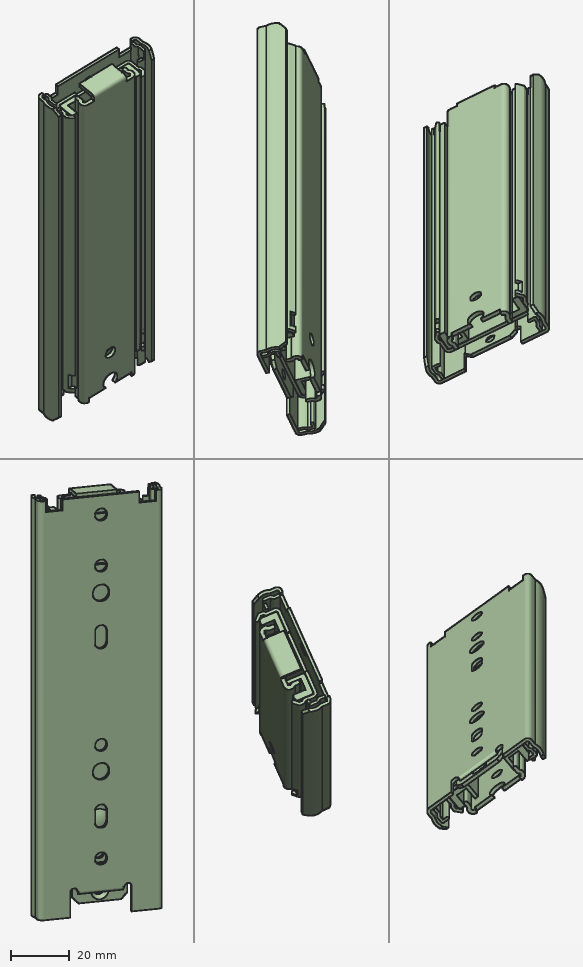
import cadquery as cq


length = 150.0
width = 45.8
half_width = width / 2
depth = 12.8

outer_sheet = 1.2
middle_sheet = 1.2
inner_sheet = 1.5
retainer_sheet = 1.0

outer_axis_x = outer_sheet / 2
outer_rim_y = half_width - outer_sheet / 2
bead_height = 0.5
outer_groove_y = outer_rim_y - bead_height
outer_corner_radius = 1.2
lip_end_x = 10.6
lip_end_y = 21.0
lip_bend_x = 8.1
bead_start_x = 3.9
lip_cut_width = 2.2
lip_cut_height = 2.5
top_notch_inner_y = 13.8
top_notch_outer_y = 20.0
top_notch_depth = 3.9
end_notch_half_width = 11.1
rolled_edge_half_width = 8.1
end_notch_top_z = 9.0
relief_radius = 1.4
small_hole_diameter = 4.4
small_hole_radius = small_hole_diameter / 2
small_hole_heights = (20.1, 60.8, 125.0, 143.2)
large_hole_radius = 3.0
large_hole_heights = (51.3, 115.2)
slot_length = 8.4
slot_heights = (35.2, 99.5)

middle_bottom_z = 12.0
middle_top_z = 144.2
middle_front_x = 2.7
middle_axis_x = middle_front_x + middle_sheet / 2
middle_corner_radius = 1.2
middle_groove_y = 16.5
middle_rim_y = 17.1
middle_step_start_x = 7.8
middle_step_end_x = 8.5
middle_lip_bend_x = 9.9
middle_lip_end_x = 11.5
middle_lip_end_y = 15.6
lip_notch_x = 10.6
lip_notch_bottom_z = 14.0
lip_notch_top_z = 20.2
web_gap_half_width = 7.5
web_top_z = 142.8
disc_radius = 9.9
disc_height = 115.2
bump_radius = 4.6
bump_height = 32.4
bump_rise = 1.2
web_tongue_bottom_z = 4.4
web_tongue_top_z = 18.0
web_tongue_front_x = 1.4
web_tongue_half_width = 9.9
web_tongue_chamfer = 2.2
end_hole_height = 8.2
end_hole_radius = 1.6
end_sink_radius = 3.2
web_hole_height = 21.6

inner_bottom_z = 4.0
inner_top_z = 147.5
inner_axis_x = depth - inner_sheet / 2
inner_rim_y = 11.2
inner_groove_y = 10.6
inner_step_start_x = 10.2
inner_step_end_x = 9.3
inner_flange_end_x = 7.8
inner_corner_radius = 1.2
tongue_half_width = 7.4
tongue_start_x = 5.0
tongue_bend_radius = 1.5
web_recess_half_width = 9.6
web_recess_height = 1.8

outer_retainer_start_x = 1.8
outer_retainer_low_y = 19.4
outer_retainer_high_y = 20.1
outer_retainer_step_x = 3.6
outer_retainer_bend_x = 4.6
outer_retainer_leg_x = 6.9
outer_retainer_leg_y = 17.8
inner_retainer_back_x = 4.0
inner_retainer_floor_x = 6.0
inner_retainer_bottom_y = 7.8
inner_retainer_top_y = 15.8
inner_retainer_gap_bottom_y = 9.2
inner_retainer_gap_top_y = 13.4
inner_retainer_lobe_radius = 1.2
inner_retainer_corner_radius = 0.8
inner_retainer_lobe_end_x = 10.8


def block(x_range, y_range, z_range):
    """A box given by its two limits along each axis."""
    size = [high - low for low, high in (x_range, y_range, z_range)]
    corner = [limits[0] for limits in (x_range, y_range, z_range)]
    return cq.Workplane("XY").box(*size, centered=False).translate(tuple(corner))


def both_sides(shape):
    """The shape joined to its mirror image across the middle plane Y = 0."""
    return shape.union(shape.mirror("XZ"))


def x_cylinder(radius, y, z, x_start, x_end):
    """A round bar along X."""
    start = cq.Workplane("YZ", origin=(x_start, 0, 0))
    return start.center(y, z).circle(radius).extrude(x_end - x_start)


def sheet(path, thickness, z_bottom, z_top):
    """A bent sheet of even thickness whose middle line is the path."""
    strip = path.wire().offset2D(thickness / 2).extrude(z_top - z_bottom)
    return strip.translate((0, 0, z_bottom))


def corner_path(web_x, rim_y, radius):
    """A middle line up the web and round its corner, ending where the flange starts."""
    path = cq.Workplane("XY").moveTo(web_x, 0).lineTo(web_x, rim_y - radius)
    return path.radiusArc((web_x + radius, rim_y), radius)


def outer_profile():
    path = corner_path(outer_axis_x, outer_groove_y, outer_corner_radius)
    bead_middle_x = (bead_start_x + lip_bend_x) / 2
    path = path.lineTo(bead_start_x, outer_groove_y)
    path = path.threePointArc((bead_middle_x, outer_rim_y), (lip_bend_x, outer_groove_y))
    path = path.lineTo(lip_end_x, lip_end_y)
    profile = both_sides(sheet(path, outer_sheet, 0, length))
    return profile.cut(block((lip_end_x, depth), (-half_width, half_width), (0, length)))


def lip_corner_cuts():
    """The slanted cuts at both ends of the two lips."""
    across = cq.Workplane("XZ", origin=(0, half_width, 0))
    cuts = None
    for z_end, inward in ((0, 1), (length, -1)):
        corner = across.polyline([
            (lip_end_x - lip_cut_width, z_end),
            (depth, z_end),
            (depth, z_end + inward * lip_cut_height),
            (lip_end_x, z_end + inward * lip_cut_height),
        ]).close().extrude(2 * half_width)
        cuts = corner if cuts is None else cuts.union(corner)
    return cuts


def top_notches():
    """The two openings in the top edge of the web."""
    notch = block(
        (-outer_sheet, outer_sheet),
        (top_notch_inner_y, top_notch_outer_y),
        (length - top_notch_depth, length),
    )
    return both_sides(notch)


def end_notch():
    """The bottom opening, with a round-topped relief on each side of the rolled edge."""
    x_range = (-outer_sheet, outer_sheet)
    opening = block(x_range, (-end_notch_half_width, end_notch_half_width), (0, end_notch_top_z))
    relief_y = end_notch_half_width - relief_radius
    return opening.union(both_sides(x_cylinder(relief_radius, relief_y, end_notch_top_z, *x_range)))


def rolled_edge():
    """The rounded web edge between the two reliefs of the bottom opening."""
    profile = (
        cq.Workplane("XZ", origin=(0, rolled_edge_half_width, 0))
        .moveTo(0, end_notch_top_z)
        .radiusArc((outer_sheet, end_notch_top_z - outer_sheet), -outer_sheet)
        .lineTo(outer_sheet, end_notch_top_z)
        .close()
    )
    return profile.extrude(2 * rolled_edge_half_width)


def mounting_holes():
    holes = (
        cq.Workplane("YZ", origin=(-outer_sheet, 0, 0))
        .pushPoints([(0, z) for z in slot_heights])
        .slot2D(slot_length, small_hole_diameter, 90)
        .extrude(2 * outer_sheet)
    )
    for radius, heights in (
        (small_hole_radius, small_hole_heights),
        (large_hole_radius, large_hole_heights),
    ):
        for z in heights:
            holes = holes.union(x_cylinder(radius, 0, z, -outer_sheet, outer_sheet))
    return holes


def make_outer_rail():
    rail = outer_profile().cut(lip_corner_cuts()).cut(top_notches()).cut(end_notch())
    return rail.union(rolled_edge()).cut(mounting_holes())


def middle_profile():
    path = corner_path(middle_axis_x, middle_groove_y, middle_corner_radius)
    path = path.lineTo(middle_step_start_x, middle_groove_y)
    path = path.lineTo(middle_step_end_x, middle_rim_y).lineTo(middle_lip_bend_x, middle_rim_y)
    path = path.lineTo(middle_lip_end_x, middle_lip_end_y)
    return both_sides(sheet(path, middle_sheet, middle_bottom_z, middle_top_z))


def web_tongue():
    """The plate on the front of the web that reaches below the flanges."""
    tongue = block(
        (web_tongue_front_x, middle_front_x),
        (-web_tongue_half_width, web_tongue_half_width),
        (web_tongue_bottom_z, web_tongue_top_z),
    )
    return tongue.edges("|X and <Z").chamfer(web_tongue_chamfer)


def end_hole():
    """The countersunk hole near the bottom of the tongue, widest towards the outer rail."""
    plate_depth = middle_front_x - web_tongue_front_x
    face = cq.Workplane("YZ", origin=(web_tongue_front_x, 0, 0)).center(0, end_hole_height)
    cone = face.circle(end_sink_radius).workplane(offset=plate_depth).circle(end_hole_radius)
    return cone.loft()


def web_bump():
    """A shallow round bump on the web, cut from a ball."""
    ball_radius = (bump_radius**2 + bump_rise**2) / (2 * bump_rise)
    ball_x = middle_front_x - bump_rise + ball_radius
    ball = cq.Workplane("XY").sphere(ball_radius).translate((ball_x, 0, bump_height))
    return ball.intersect(x_cylinder(ball_radius, 0, bump_height, 0, middle_axis_x))


def make_middle_rail():
    web_range = (0, middle_axis_x + middle_sheet)
    gap_range = (-web_gap_half_width, web_gap_half_width)
    full_range = (-half_width, half_width)
    top_gap = block(web_range, gap_range, (web_top_z, middle_top_z))
    lip_notches = block((lip_notch_x, depth), full_range, (lip_notch_bottom_z, lip_notch_top_z))
    disc = x_cylinder(disc_radius, 0, disc_height, outer_sheet, middle_axis_x)
    web_hole = x_cylinder(small_hole_radius, 0, web_hole_height, *web_range)
    rail = middle_profile().cut(top_gap).cut(lip_notches).union(disc).union(web_bump())
    return rail.union(web_tongue()).cut(end_hole()).cut(web_hole)


def inner_profile():
    path = corner_path(0, inner_rim_y, inner_corner_radius)
    path = path.lineTo(inner_axis_x - inner_step_start_x, inner_rim_y)
    path = path.lineTo(inner_axis_x - inner_step_end_x, inner_groove_y)
    path = path.lineTo(inner_axis_x - inner_flange_end_x, inner_groove_y)
    flange = sheet(path, inner_sheet, inner_bottom_z, inner_top_z)
    return both_sides(flange.mirror("YZ").translate((inner_axis_x, 0, 0)))


def top_tongue():
    """The top of the web, narrowed and bent back towards the outer rail."""
    tongue_range = (-tongue_half_width, tongue_half_width)
    upright = block((depth - inner_sheet, depth), tongue_range, (inner_top_z - inner_sheet, length))
    shelf = block((tongue_start_x, depth), tongue_range, (length - inner_sheet, length))
    return upright.union(shelf).edges("|Y and >X and >Z").fillet(tongue_bend_radius)


def web_recess():
    """The shallow opening in the bottom edge of the web, between the flanges."""
    return block(
        (depth - inner_sheet, depth),
        (-web_recess_half_width, web_recess_half_width),
        (inner_bottom_z, inner_bottom_z + web_recess_height),
    )


def make_inner_rail():
    rail = inner_profile().union(top_tongue()).cut(web_recess())
    for radius, z in ((end_sink_radius, end_hole_height), (small_hole_radius, web_hole_height)):
        rail = rail.cut(x_cylinder(radius, 0, z, depth - 2 * inner_sheet, depth))
    return rail


def make_outer_retainer():
    """A bent strip with a leg between the rails, the leg ending below the top notches."""
    path = (
        cq.Workplane("XY")
        .moveTo(outer_retainer_start_x, outer_retainer_low_y)
        .lineTo(outer_retainer_step_x, outer_retainer_low_y)
        .lineTo(outer_retainer_bend_x, outer_retainer_high_y)
        .lineTo(outer_retainer_leg_x, outer_retainer_high_y)
        .lineTo(outer_retainer_leg_x, outer_retainer_leg_y)
    )
    strip = sheet(path, retainer_sheet, 0, length)
    leg_top = block(
        (outer_retainer_bend_x, depth),
        (0, outer_retainer_high_y - retainer_sheet / 2),
        (length - top_notch_depth, length),
    )
    return strip.cut(leg_top)


def make_inner_retainer():
    """A C-shaped channel around the flange of the inner rail."""
    channel = block(
        (inner_retainer_back_x, inner_retainer_lobe_end_x),
        (inner_retainer_bottom_y, inner_retainer_top_y),
        (middle_bottom_z, middle_top_z),
    )
    channel = channel.edges("|Z and >X and >Y").fillet(inner_retainer_lobe_radius)
    channel = channel.edges("|Z and <X and >Y").fillet(inner_retainer_corner_radius)
    gap = block(
        (inner_retainer_floor_x, depth),
        (inner_retainer_gap_bottom_y, inner_retainer_gap_top_y),
        (0, length),
    )
    return channel.cut(gap)


outer_rail = make_outer_rail()
middle_rail = make_middle_rail()
inner_rail = make_inner_rail()
retainers = []
for make_retainer in (make_outer_retainer, make_inner_retainer):
    retainer = make_retainer()
    retainers.append(retainer.val())
    retainers.append(retainer.mirror("XZ").val())

result = cq.Compound.makeCompound([outer_rail.val(), middle_rail.val(), inner_rail.val(), *retainers])